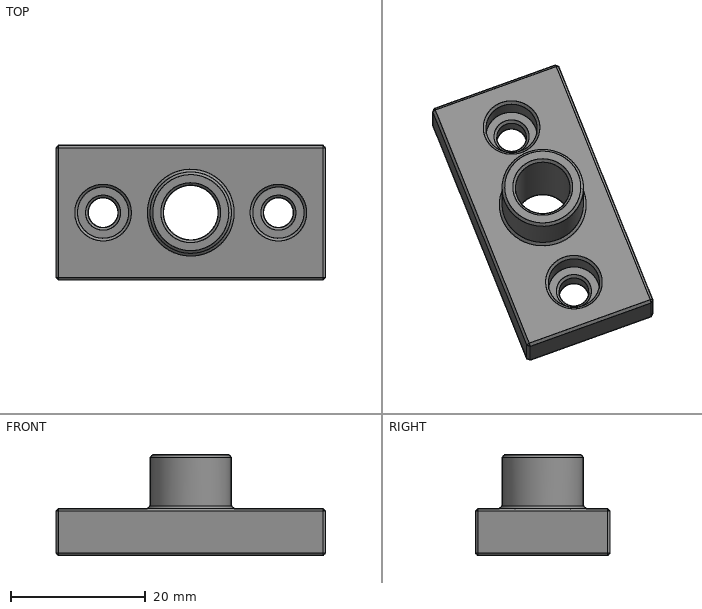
import cadquery as cq

length = 40.0
width = 20.0
plate_height = 7.0
edge_chamfer = 0.4

boss_diameter = 12.1
boss_height = 8.0
bore_diameter = 8.1
total_height = plate_height + boss_height

hole_spacing = 26.0
hole_diameter = 4.4
counterbore_diameter = 7.6
counterbore_depth = 4.0


def cone(diameter_bottom, diameter_top, base_z):
    """Conical disc on the Z axis, one edge chamfer high."""
    profile = [
        (0, base_z),
        (diameter_bottom / 2, base_z),
        (diameter_top / 2, base_z + edge_chamfer),
        (0, base_z + edge_chamfer),
    ]
    return cq.Workplane("XZ").polyline(profile).close().revolve(360, (0, 0), (0, 1))


def cylinder(diameter, base_z, height):
    """Upright cylinder on the Z axis."""
    return cq.Workplane("XY").workplane(offset=base_z).circle(diameter / 2).extrude(height)


def countersink(diameter, top_z):
    """Cutter that chamfers the upper rim of a hole."""
    return cone(diameter, diameter + 2 * edge_chamfer, top_z - edge_chamfer)


def make_plate():
    """Rectangular plate with every outer edge chamfered."""
    plate = cq.Workplane("XY").box(length, width, plate_height, centered=(True, True, False))
    return plate.edges().chamfer(edge_chamfer)


def make_boss():
    """Boss with a chamfered rim and a conical flare where it meets the plate."""
    boss = cylinder(boss_diameter, plate_height, boss_height).faces(">Z").edges().chamfer(edge_chamfer)
    return boss.union(cone(boss_diameter + 2 * edge_chamfer, boss_diameter, plate_height))


def screw_hole_cutter():
    """Through hole and counterbore, both with a chamfered upper rim."""
    floor_z = plate_height - counterbore_depth
    cutter = cylinder(hole_diameter, 0, plate_height)
    cutter = cutter.union(cylinder(counterbore_diameter, floor_z, counterbore_depth))
    cutter = cutter.union(countersink(hole_diameter, floor_z))
    return cutter.union(countersink(counterbore_diameter, plate_height))


result = make_plate().union(make_boss())
result = result.cut(cylinder(bore_diameter, 0, total_height))
result = result.cut(countersink(bore_diameter, total_height))
for side in (-1, 1):
    result = result.cut(screw_hole_cutter().translate((side * hole_spacing / 2, 0, 0)))